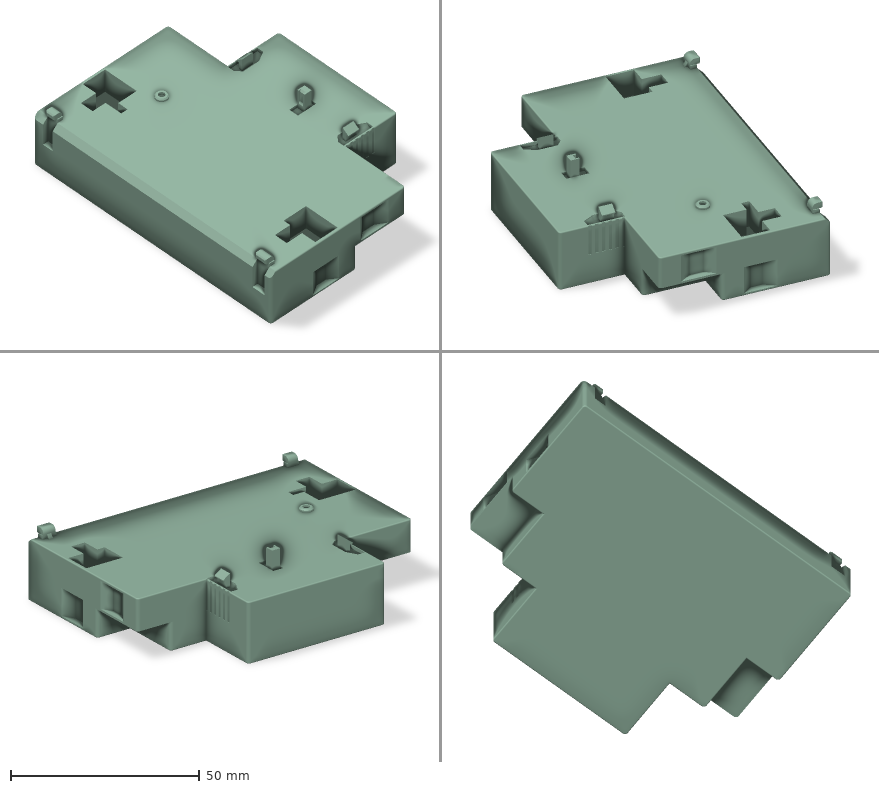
import cadquery as cq

WIDTH = 90.0
DEPTH = 69.2
HEIGHT = 18.0
HALF_WIDTH = WIDTH / 2
NECK_HALF_WIDTH = 22.5
SHOULDER_Y = 50.1
CORNER_RADIUS = 1.0
RIM_RADIUS = 0.4
FRONT_CHAMFER = 1.8

UNDERCUT_Y = 31.9
UNDERCUT_Z = 8.5
UNDERCUT_DEPTH = 10.8

FUNNEL_DEPTH = 2.1
FUNNEL_HEIGHT = 8.2
UPPER_FUNNEL = (9.1, (33.5, 43.7), (36.3, 40.4))
LOWER_FUNNEL = (0.7, (15.7, 25.4), (19.1, 22.6))

WELL_DEPTH = 7.9
WELL_OUTER_X = 44.1
WELL_INNER_X = 32.1
WELL_FRONT_Y = 17.5
WELL_REAR_Y = 25.7
WELL_STEM_OUTER_X = 39.1
WELL_STEM_INNER_X = 34.6
WELL_STEM_FRONT_Y = 11.8
WELL_ARM_END_X = 28.6
WELL_ARM_FRONT_Y = 16.6
WELL_ARM_REAR_Y = 18.9

LATCH_REAR_Y = 60.7
DISH_DEPTH = 1.2
DISH_FRONT_Y = 49.8
DISH_INNER_X = 17.9
DISH_INNER_Y = (51.4, 57.3)
DISH_FRONT_CORNER_X = 19.8
DISH_REAR_CORNER_X = 19.7
DISH_RADIUS = 1.1
DISH_LIP = 0.5
HOOK_FRONT_Y = 52.2
HOOK_LENGTH = 4.0
HOOK_TOP_Z = 21.0
HOOK_BACK_X = 19.1
HOOK_STEM_X = 20.25
HOOK_TIP_X = 21.2
HOOK_TIP_Z = 19.4
HOOK_TIP_HEIGHT = 0.3
GRIP_BOTTOM_Z = 9.0
GRIP_GROOVE_COUNT = 6
GRIP_GROOVE_WIDTH = 1.0
GRIP_GROOVE_DEPTH = 0.2

SLOT_X = (1.6, 4.9)
SLOT_Y = (49.5, 56.25)
SLOT_DEPTH = 1.1
POST_X = (1.7, 4.4)
POST_Y = (52.4, 55.0)
POST_TOP_Z = 23.3
POST_RECESS_X = (2.2, 3.9)
POST_RECESS_Y = 52.8
POST_RECESS_Z = 19.35
POST_RECESS_SILL = 0.6
POST_BEVEL = (0.5, 0.5)

RING_X = -25.7
RING_Y = 28.8
RING_RADIUS = 2.0
RING_HOLE_RADIUS = 1.0
RING_HEIGHT = 0.9
RING_CHAMFER = 0.4

LEFT_CLIP_X = (-41.4, -37.7)
RIGHT_CLIP_X = (38.1, 42.7)
CHANNEL_BOTTOM_Z = 9.1
CLIP_FACE_Y = 1.9
CLIP_REAR_Y = 3.8
CLIP_NOSE_Y = 0.6
CLIP_NECK_Z = 19.2
CLIP_TOP_Z = 21.0
CLIP_CREST_RADIUS = 1.4
CLIP_NOSE_CHAMFER = 0.4
CLIP_HEAD_INSET = 0.3
GUSSET_X = (39.8, 41.1)
GUSSET_LENGTH = 0.9
GUSSET_TOP_Z = 19.3

EMBED = 0.9
CLEAR = 0.9


def block(x_range, y_range, z_range):
    """Axis-aligned box from its three ranges."""
    return (
        cq.Workplane("XY", origin=(x_range[0], y_range[0], z_range[0]))
        .box(x_range[1] - x_range[0], y_range[1] - y_range[0], z_range[1] - z_range[0], centered=False)
    )


def prism(points, bottom, top):
    """Vertical prism over a plan outline."""
    return cq.Workplane("XY").workplane(offset=bottom).polyline(points).close().extrude(top - bottom)


def mirrored(points):
    """Plan outline closed by its mirror image across the YZ plane."""
    return points + [(-x, y) for x, y in reversed(points)]


def round_corner(body, x, y):
    """Round the pair of vertical edges at (x, y) and (-x, y)."""
    for side in (1, -1):
        edge = cq.selectors.NearestToPointSelector((side * x, y, body.val().BoundingBox().center.z))
        body = body.edges("|Z").edges(edge).fillet(CORNER_RADIUS)
    return body


def make_housing():
    """Upper "T" and undercut lower part, with rounded corners and a bevelled front upper edge."""
    upper = prism(
        mirrored([
            (HALF_WIDTH, 0), (HALF_WIDTH, SHOULDER_Y),
            (NECK_HALF_WIDTH, SHOULDER_Y), (NECK_HALF_WIDTH, DEPTH),
        ]),
        UNDERCUT_Z, HEIGHT,
    )
    for x, y in ((HALF_WIDTH, 0), (HALF_WIDTH, SHOULDER_Y), (NECK_HALF_WIDTH, DEPTH)):
        upper = round_corner(upper, x, y)
    upper = upper.faces(">Z").edges().fillet(RIM_RADIUS)

    inset_x = HALF_WIDTH - UNDERCUT_DEPTH
    lower = prism(
        mirrored([
            (HALF_WIDTH, 0), (HALF_WIDTH, UNDERCUT_Y), (inset_x, UNDERCUT_Y),
            (inset_x, SHOULDER_Y), (NECK_HALF_WIDTH, SHOULDER_Y), (NECK_HALF_WIDTH, DEPTH),
        ]),
        0, UNDERCUT_Z,
    )
    for x, y in ((HALF_WIDTH, 0), (HALF_WIDTH, UNDERCUT_Y), (inset_x, SHOULDER_Y), (NECK_HALF_WIDTH, DEPTH)):
        lower = round_corner(lower, x, y)
    lower = lower.faces("<Z").edges().fillet(RIM_RADIUS)

    reach = FRONT_CHAMFER + CLEAR
    bevel = (
        cq.Workplane("YZ")
        .polyline([(-CLEAR, HEIGHT - reach), (-CLEAR, HEIGHT + CLEAR), (reach, HEIGHT + CLEAR)])
        .close()
        .extrude(HALF_WIDTH + CLEAR, both=True)
    )
    return upper.union(lower).cut(bevel)


def funnel_pocket(bottom_z, opening, floor):
    """Pocket in the left wall with a flat floor and two sloping sides."""
    wall_x = -HALF_WIDTH
    floor_x = wall_x + FUNNEL_DEPTH
    return prism(
        [(wall_x, opening[0]), (floor_x, floor[0]), (floor_x, floor[1]), (wall_x, opening[1])],
        bottom_z, bottom_z + FUNNEL_HEIGHT,
    )


def well(side):
    """Wide well with a narrower stem toward the front, on the side given by the sign."""
    x_wide = sorted((side * WELL_INNER_X, side * WELL_OUTER_X))
    x_stem = sorted((side * WELL_STEM_INNER_X, side * WELL_STEM_OUTER_X))
    z_range = (HEIGHT - WELL_DEPTH, HEIGHT + CLEAR)
    stem = block(x_stem, (WELL_STEM_FRONT_Y, WELL_REAR_Y), z_range)
    return block(x_wide, (WELL_FRONT_Y, WELL_REAR_Y), z_range).union(stem)


def well_arm():
    """Sideways extension of the left well."""
    return block(
        (-WELL_STEM_OUTER_X, -WELL_ARM_END_X),
        (WELL_ARM_FRONT_Y, WELL_ARM_REAR_Y),
        (HEIGHT - WELL_DEPTH, HEIGHT + CLEAR),
    )


def latch_dish():
    """Recess around the left hook, closed by a thin lip outside and coved along the inside."""
    lip_x = -NECK_HALF_WIDTH + DISH_LIP
    rim = [
        (lip_x, DISH_FRONT_Y), (-DISH_FRONT_CORNER_X, DISH_FRONT_Y), (-DISH_INNER_X, DISH_INNER_Y[0]),
        (-DISH_INNER_X, DISH_INNER_Y[1]), (-DISH_REAR_CORNER_X, LATCH_REAR_Y), (lip_x, LATCH_REAR_Y),
    ]
    dish = prism(rim, HEIGHT - DISH_DEPTH, HEIGHT)
    square_edges = dish.faces("<Z").edges("<X or >Y").vals()
    coved_edges = [
        edge for edge in dish.faces("<Z").edges().vals()
        if not any(edge.isSame(square) for square in square_edges)
    ]
    return dish.newObject(coved_edges).fillet(DISH_RADIUS)


def latch_hook():
    """Left hook with a barb that points outward."""
    root_z = HEIGHT - DISH_DEPTH - EMBED
    underside_z = HOOK_TIP_Z - HOOK_TIP_HEIGHT
    return (
        cq.Workplane("XZ", origin=(0, HOOK_FRONT_Y, 0))
        .polyline([
            (-HOOK_BACK_X, root_z), (-HOOK_BACK_X, HOOK_TOP_Z), (-HOOK_TIP_X, HOOK_TIP_Z),
            (-HOOK_TIP_X, underside_z), (-HOOK_STEM_X, underside_z), (-HOOK_STEM_X, root_z),
        ])
        .close()
        .extrude(-HOOK_LENGTH)
    )


def grip_grooves():
    """Vertical finger-grip grooves in the left neck wall, the last one cut short by the shoulder."""
    grooves = cq.Workplane("XY")
    for index in range(GRIP_GROOVE_COUNT):
        rear_y = LATCH_REAR_Y - 2 * index * GRIP_GROOVE_WIDTH
        grooves = grooves.union(block(
            (-NECK_HALF_WIDTH - CLEAR, -NECK_HALF_WIDTH + GRIP_GROOVE_DEPTH),
            (max(rear_y - GRIP_GROOVE_WIDTH, SHOULDER_Y), rear_y),
            (GRIP_BOTTOM_Z, HEIGHT + CLEAR),
        ))
    return grooves


def centre_post():
    """Square post with a recess in its front face, sloping at the sill and bevelled at the top."""
    post = block(POST_X, POST_Y, (HEIGHT - SLOT_DEPTH - EMBED, POST_TOP_Z))
    bevel_y, bevel_z = POST_BEVEL
    recess = (
        cq.Workplane("YZ", origin=(POST_RECESS_X[0], 0, 0))
        .polyline([
            (POST_Y[0], POST_RECESS_Z - POST_RECESS_SILL), (POST_RECESS_Y, POST_RECESS_Z),
            (POST_RECESS_Y, POST_TOP_Z - bevel_z), (POST_RECESS_Y + bevel_y, POST_TOP_Z),
            (POST_Y[0], POST_TOP_Z),
        ])
        .close()
        .extrude(POST_RECESS_X[1] - POST_RECESS_X[0])
    )
    return post.cut(recess)


def ring():
    """Low bevelled ring, open down to the top face."""
    return (
        cq.Workplane("XY", origin=(RING_X, RING_Y, HEIGHT))
        .circle(RING_RADIUS).extrude(RING_HEIGHT)
        .faces(">Z").chamfer(RING_CHAMFER)
        .faces(">Z").workplane().hole(2 * RING_HOLE_RADIUS, RING_HEIGHT)
    )


def clip_channel(x_range):
    """Channel down the front face that exposes the front of the clip."""
    return block(x_range, (-CLEAR, CLIP_FACE_Y), (CHANNEL_BOTTOM_Z, HEIGHT + CLEAR))


def front_clip(x_range):
    """Forward-facing hook: a full-width neck and a slightly narrower rounded head."""
    neck = block(x_range, (CLIP_FACE_Y, CLIP_REAR_Y), (HEIGHT - EMBED, CLIP_NECK_Z))
    head = (
        cq.Workplane("YZ", origin=(x_range[0] + CLIP_HEAD_INSET, 0, 0))
        .moveTo(CLIP_REAR_Y, CLIP_NECK_Z)
        .lineTo(CLIP_NOSE_Y, CLIP_NECK_Z)
        .lineTo(CLIP_NOSE_Y, CLIP_TOP_Z)
        .lineTo(CLIP_REAR_Y - CLIP_CREST_RADIUS, CLIP_TOP_Z)
        .tangentArcPoint((CLIP_REAR_Y, CLIP_TOP_Z - CLIP_CREST_RADIUS), relative=False)
        .close()
        .extrude(x_range[1] - x_range[0] - 2 * CLIP_HEAD_INSET)
    )
    return neck.union(head.faces("<Y").chamfer(CLIP_NOSE_CHAMFER))


def clip_gusset():
    """Small sloping rib that backs up the right clip."""
    return (
        cq.Workplane("YZ", origin=(GUSSET_X[0], 0, 0))
        .polyline([
            (CLIP_FACE_Y, HEIGHT - EMBED), (CLIP_REAR_Y + GUSSET_LENGTH, HEIGHT - EMBED),
            (CLIP_REAR_Y + GUSSET_LENGTH, HEIGHT), (CLIP_REAR_Y, GUSSET_TOP_Z), (CLIP_FACE_Y, GUSSET_TOP_Z),
        ])
        .close()
        .extrude(GUSSET_X[1] - GUSSET_X[0])
    )


result = make_housing()

for left_cut in (funnel_pocket(*UPPER_FUNNEL), funnel_pocket(*LOWER_FUNNEL), latch_dish(), grip_grooves()):
    result = result.cut(left_cut).cut(left_cut.mirror("YZ"))

result = result.cut(well(-1)).cut(well_arm()).cut(well(1))
result = result.cut(block(SLOT_X, SLOT_Y, (HEIGHT - SLOT_DEPTH, HEIGHT + CLEAR)))

for clip_x in (LEFT_CLIP_X, RIGHT_CLIP_X):
    result = result.cut(clip_channel(clip_x)).union(front_clip(clip_x))
result = result.union(clip_gusset())

hook = latch_hook()
result = result.union(hook).union(hook.mirror("YZ")).union(centre_post()).union(ring())